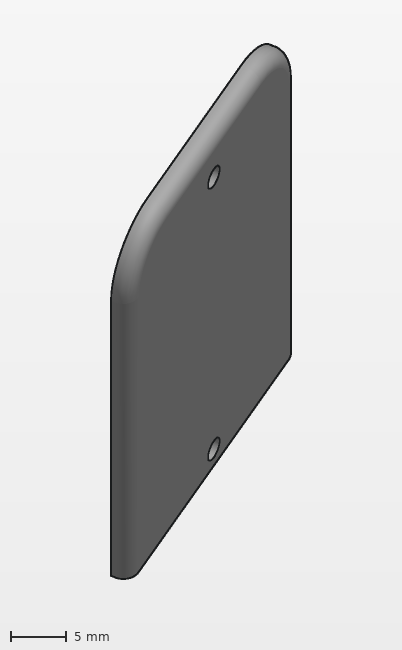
import cadquery as cq

height = 44.4
width = 31.9
lip_thickness = 0.45
edge_radius = 1.55
thickness = lip_thickness + edge_radius
corner_radius = 6.97

hole_diameter = 2.2
lower_hole_height = 2.25
hole_spacing = 37.0

front_plane = cq.Plane(origin=(0, 0, 0), xDir=(1, -1, 0), normal=(-1, -1, 0))


def make_plate():
    """Upright plate with round upper corners and a rounded back rim."""
    half_width = width / 2
    shoulder_height = height - corner_radius
    flat_half_width = half_width - corner_radius
    plate = (
        cq.Workplane(front_plane)
        .moveTo(-half_width, 0)
        .lineTo(half_width, 0)
        .lineTo(half_width, shoulder_height)
        .radiusArc((flat_half_width, height), -corner_radius)
        .lineTo(-flat_half_width, height)
        .radiusArc((-half_width, shoulder_height), -corner_radius)
        .close()
        .extrude(-thickness)
    )
    back_rim = plate.faces(cq.selectors.DirectionMinMaxSelector(cq.Vector(1, 1, 0))).edges("not <Z")
    return back_rim.fillet(edge_radius)


def make_holes():
    """Cutters for the two holes through the full thickness."""
    upper_hole_height = lower_hole_height + hole_spacing
    return (
        cq.Workplane(front_plane)
        .pushPoints([(0, lower_hole_height), (0, upper_hole_height)])
        .circle(hole_diameter / 2)
        .extrude(-thickness)
    )


result = make_plate().cut(make_holes())